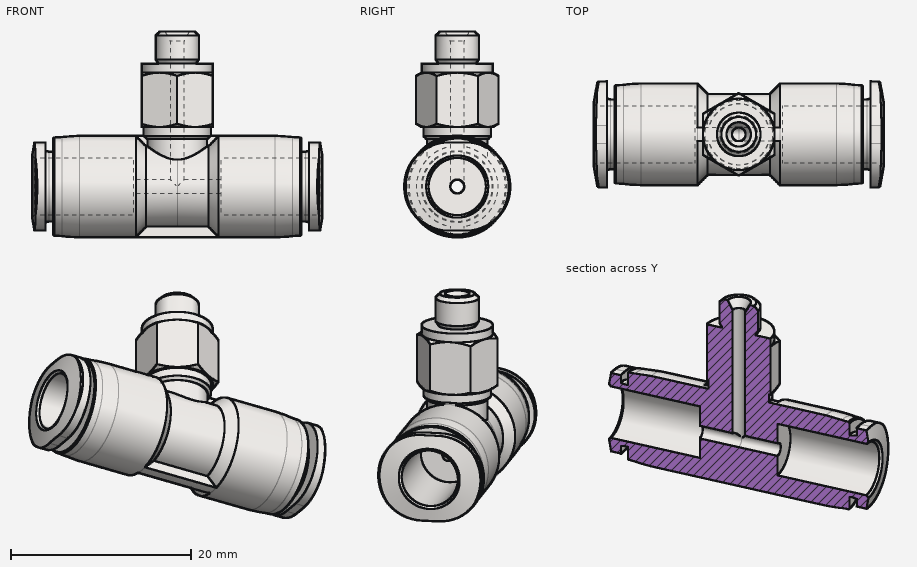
import cadquery as cq
import math

half_length = 16.1

body_radius = 11.3 / 2
body_end_x = 13.75
lip_radius = 10.9 / 2
lip_chamfer = 0.13
taper_outer_x = 12.78
taper_outer_radius = 5.5
taper_inner_x = 10.82
waist_radius = 4.5
waist_half_length = 3.45
shoulder_x = waist_half_length + body_radius - waist_radius
rib_width = 1.48

collar_neck_radius = 7.75 / 2
collar_root_radius = 7.95 / 2
collar_root_x = 14.2
flange_back_x = 14.6
flange_width = 11.8
flange_height = 9.8
bevel_angle = 10.0
tip_chamfer_radius = 5.7

tube_radius = 6.35 / 2
tube_mouth_radius = 3.45
tube_stop_x = 4.83
bore_radius = 1.5 / 2

overall_height = 22.85
branch_top_z = overall_height - body_radius
thread_bottom_z = 14.1
washer_top_z = 13.62
hex_top_z = 12.62
hex_bottom_z = 6.6
sleeve_bottom_z = 5.25
thread_radius = 4.83 / 2
thread_chamfer = 0.48
undercut_radius = 2.1
hex_across_flats = 7.92
washer_radius = hex_across_flats / 2
hex_chamfer_angle = 30.0
sleeve_radius = 7.55 / 2
sleeve_chamfer = 0.35
stem_radius = 3.38
countersink_radius = 1.35
countersink_depth = 1.1


def revolve_about_x(profile):
    return profile.close().revolve(360, (0, 0, 0), (1, 0, 0))


def body_half():
    """Body on the +X side: waist, conical shoulder, cylinder and tapered end."""
    profile = (
        cq.Workplane("XY")
        .lineTo(0, waist_radius)
        .lineTo(waist_half_length, waist_radius)
        .lineTo(shoulder_x, body_radius)
        .lineTo(taper_inner_x, body_radius)
        .tangentArcPoint((taper_outer_x, taper_outer_radius), relative=False)
        .lineTo(body_end_x - lip_chamfer, lip_radius)
        .lineTo(body_end_x, lip_radius - lip_chamfer)
        .lineTo(body_end_x, 0)
    )
    return revolve_about_x(profile)


def release_collar():
    """Collar on the +X side: flared neck and an oblong flange with a conical face and chamfered tips."""
    neck = revolve_about_x(
        cq.Workplane("XY")
        .moveTo(taper_inner_x, 0)
        .lineTo(taper_inner_x, collar_neck_radius)
        .lineTo(collar_root_x, collar_neck_radius)
        .lineTo(flange_back_x, collar_root_radius)
        .lineTo(flange_back_x, 0)
    )
    flange = (
        cq.Workplane("YZ", origin=(flange_back_x, 0, 0))
        .slot2D(flange_width, flange_height)
        .extrude(half_length - flange_back_x)
    )
    flange_radius = flange_width / 2
    bevel_depth = (tip_chamfer_radius - tube_mouth_radius) * math.tan(math.radians(bevel_angle))
    tip_chamfer = flange_radius - tip_chamfer_radius
    bevelled_disc = revolve_about_x(
        cq.Workplane("XY")
        .moveTo(flange_back_x, 0)
        .lineTo(flange_back_x, flange_radius)
        .lineTo(half_length - bevel_depth - tip_chamfer, flange_radius)
        .lineTo(half_length - bevel_depth, tip_chamfer_radius)
        .lineTo(half_length, tube_mouth_radius)
        .lineTo(half_length, 0)
    )
    return neck.union(flange.intersect(bevelled_disc))


def tube_socket():
    """Tube bore on the +X side with a chamfered mouth."""
    mouth_chamfer = tube_mouth_radius - tube_radius
    return revolve_about_x(
        cq.Workplane("XY")
        .moveTo(tube_stop_x, 0)
        .lineTo(tube_stop_x, tube_radius)
        .lineTo(half_length - mouth_chamfer, tube_radius)
        .lineTo(half_length, tube_mouth_radius)
        .lineTo(half_length, 0)
    )


def waist_rib():
    """Flat web across the waist, rounded to the body radius above and below."""
    web = cq.Workplane("XY").box(2 * shoulder_x, rib_width, 2 * body_radius)
    body_cylinder = cq.Workplane("YZ").circle(body_radius).extrude(shoulder_x, both=True)
    return web.intersect(body_cylinder)


def branch_turning():
    """Turned parts of the branch: stem, sleeve, washer face, undercut and thread."""
    return (
        cq.Workplane("XZ")
        .lineTo(stem_radius, 0)
        .lineTo(stem_radius, sleeve_bottom_z)
        .lineTo(sleeve_radius - sleeve_chamfer, sleeve_bottom_z)
        .lineTo(sleeve_radius, sleeve_bottom_z + sleeve_chamfer)
        .lineTo(sleeve_radius, hex_top_z)
        .lineTo(washer_radius, hex_top_z)
        .lineTo(washer_radius, washer_top_z)
        .lineTo(undercut_radius, washer_top_z)
        .lineTo(thread_radius, thread_bottom_z)
        .lineTo(thread_radius, branch_top_z - thread_chamfer)
        .lineTo(thread_radius - thread_chamfer, branch_top_z)
        .lineTo(0, branch_top_z)
        .close()
        .revolve(360, (0, 0, 0), (0, 1, 0))
    )


def branch_hexagon():
    """Hexagon with flats facing +X and -X and conically chamfered corners."""
    corner_radius = hex_across_flats / math.sqrt(3)
    corner_drop = (corner_radius - washer_radius) * math.tan(math.radians(hex_chamfer_angle))
    prism = (
        cq.Workplane("XY", origin=(0, 0, hex_bottom_z))
        .transformed(rotate=(0, 0, 90))
        .polygon(6, 2 * corner_radius)
        .extrude(hex_top_z - hex_bottom_z)
    )
    chamfer_envelope = (
        cq.Workplane("XZ")
        .moveTo(0, hex_bottom_z)
        .lineTo(washer_radius, hex_bottom_z)
        .lineTo(corner_radius, hex_bottom_z + corner_drop)
        .lineTo(corner_radius, hex_top_z - corner_drop)
        .lineTo(washer_radius, hex_top_z)
        .lineTo(0, hex_top_z)
        .close()
        .revolve(360, (0, 0, 0), (0, 1, 0))
    )
    return prism.intersect(chamfer_envelope)


def branch_bore():
    """Bore from the run axis to the branch top, opening in a steep countersink."""
    return (
        cq.Workplane("XZ")
        .lineTo(bore_radius, 0)
        .lineTo(bore_radius, branch_top_z - countersink_depth)
        .lineTo(countersink_radius, branch_top_z)
        .lineTo(0, branch_top_z)
        .close()
        .revolve(360, (0, 0, 0), (0, 1, 0))
    )


def both_sides(half):
    return half.union(half.mirror("YZ"))


run = both_sides(body_half().union(release_collar()))
run_bore = cq.Workplane("YZ").circle(bore_radius).extrude(tube_stop_x, both=True)

result = (
    run.union(waist_rib())
    .union(branch_turning())
    .union(branch_hexagon())
    .cut(tube_socket())
    .cut(tube_socket().mirror("YZ"))
    .cut(run_bore)
    .cut(branch_bore())
)